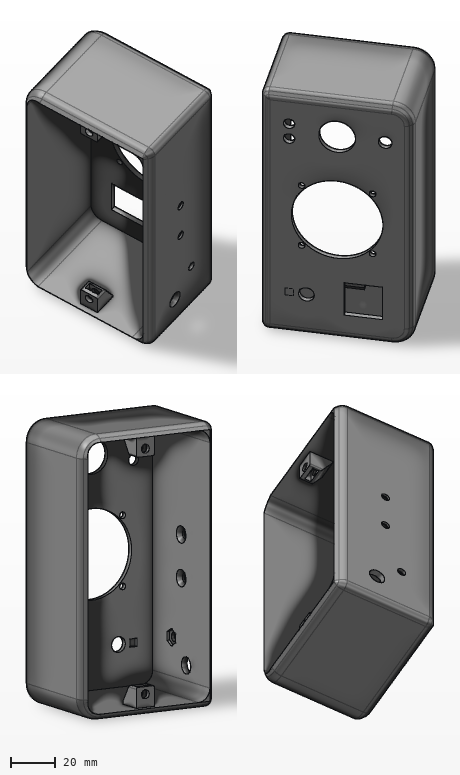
import cadquery as cq
import math

WIDTH = 70.0
DEPTH = 51.5
HEIGHT = 130.0
WALL = 3.0
BACK_WALL = 2.5
LEFT_CORNER_RADIUS = 10.0
RIGHT_CORNER_RADIUS = 3.4
CAVITY_RADIUS = 6.0

RIM_CHAMFER = WALL
FRONT_RIM_RADIUS = 5.0
BACK_RIM_RADIUS = 3.0

SPEAKER_DIAMETER = 41.9
SPEAKER_SCREW_DIAMETER = 3.0
SPEAKER_SCREW_SPACING = 32.5
UPPER_ROW_Z = 45.0
LOWER_ROW_Z = -42.5
SIDE_COLUMN_X = 22.0
KNOB_DIAMETER = 16.8
SIDE_HOLE_DIAMETER = 6.2
LAMP_DIAMETER = 5.1
LAMP_SPACING = 8.0
WINDOW_SIZE = 17.5
WINDOW_X = -12.0
JACK_DIAMETER = 7.2
JACK_X = 14.0
PIT_SIZE = 3.8
PIT_DEPTH = 2.0

COUNTERSINK_Y = -1.0
COUNTERSINK_SPACING = 19.9
COUNTERSINK_DIAMETER = 7.9
COUNTERSINK_HOLE_DIAMETER = 4.0
NUT_HOLE_Y = 7.3
NUT_HOLE_Z = -38.4
NUT_HOLE_DIAMETER = 4.0
NUT_RECESS_FLATS = 7.0
NUT_RECESS_DEPTH = 1.3
CABLE_Y = -5.3
CABLE_Z = -49.1
CABLE_DIAMETER = 7.8

BOSS_WIDTH = 9.5
BOSS_HEIGHT = 9.5
BOSS_SETBACK = WALL
BOSS_TOP_LENGTH = 6.2
BOSS_BASE_LENGTH = 11.7
BOSS_HEEL = 1.0
BOSS_FILLET = 0.8
BOSS_HOLE_DIAMETER = 4.0
BOSS_HOLE_HEIGHT = 6.0
BOSS_HOLE_DEPTH = 6.5
SLOT_OFFSET = 2.1
SLOT_THICKNESS = 3.1
SLOT_WIDTH = 7.0

FRONT_Y = -DEPTH / 2
BACK_Y = DEPTH / 2
CAVITY_BACK_Y = BACK_Y - BACK_WALL
INNER_RIGHT_X = WIDTH / 2 - WALL
FLOOR_Z = -HEIGHT / 2 + WALL


def edges_at_depth(y):
    """Select the edges lying in the XZ plane at this y."""
    tolerance = 0.01
    return cq.selectors.BoxSelector(
        (-WIDTH, y - tolerance, -HEIGHT), (WIDTH, y + tolerance, HEIGHT)
    )


def outer_body():
    body = cq.Workplane("XY").box(WIDTH, DEPTH, HEIGHT)
    body = body.edges("|Y and <X").fillet(LEFT_CORNER_RADIUS)
    body = body.edges("|Y and >X").fillet(RIGHT_CORNER_RADIUS)
    body = body.faces("<Y or >Y").chamfer(RIM_CHAMFER)
    body = body.edges(edges_at_depth(FRONT_Y + RIM_CHAMFER)).fillet(FRONT_RIM_RADIUS)
    body = body.edges(edges_at_depth(BACK_Y - RIM_CHAMFER)).fillet(BACK_RIM_RADIUS)
    return body.faces(">Y").edges().fillet(BACK_RIM_RADIUS)


def cavity():
    block = cq.Workplane("XY").box(WIDTH - 2 * WALL, DEPTH - BACK_WALL, HEIGHT - 2 * WALL)
    return block.edges("|Y").fillet(CAVITY_RADIUS).translate((0, -BACK_WALL / 2, 0))


def back_openings():
    plane = cq.Workplane("XZ", origin=(0, BACK_Y, 0))
    reach = 2 * BACK_WALL

    screw = SPEAKER_SCREW_SPACING / 2
    lamp = LAMP_SPACING / 2
    round_holes = [
        (SPEAKER_DIAMETER, [(0, 0)]),
        (SPEAKER_SCREW_DIAMETER, [(x, z) for x in (-screw, screw) for z in (-screw, screw)]),
        (KNOB_DIAMETER, [(0, UPPER_ROW_Z)]),
        (SIDE_HOLE_DIAMETER, [(-SIDE_COLUMN_X, UPPER_ROW_Z)]),
        (LAMP_DIAMETER, [(SIDE_COLUMN_X, UPPER_ROW_Z + dz) for dz in (-lamp, lamp)]),
        (JACK_DIAMETER, [(JACK_X, LOWER_ROW_Z)]),
    ]
    cut = plane.center(WINDOW_X, LOWER_ROW_Z).rect(WINDOW_SIZE, WINDOW_SIZE).extrude(reach)
    for diameter, places in round_holes:
        cut = cut.union(plane.pushPoints(places).circle(diameter / 2).extrude(reach))

    pit = (
        cq.Workplane("XZ", origin=(SIDE_COLUMN_X, CAVITY_BACK_Y, LOWER_ROW_Z))
        .rect(PIT_SIZE, PIT_SIZE)
        .extrude(-PIT_DEPTH)
    )
    return cut.union(pit)


def right_wall_holes():
    inner_face = cq.Workplane("YZ", origin=(INNER_RIGHT_X, 0, 0))
    countersinks = [(COUNTERSINK_Y, side * COUNTERSINK_SPACING / 2) for side in (-1, 1)]
    nut_hole = (NUT_HOLE_Y, NUT_HOLE_Z)

    across_corners = NUT_RECESS_FLATS / math.cos(math.pi / 6)
    cut = (
        cq.Workplane("YZ")
        .polygon(6, across_corners)
        .extrude(NUT_RECESS_DEPTH)
        .rotate((0, 0, 0), (1, 0, 0), 90)
        .translate((INNER_RIGHT_X, NUT_HOLE_Y, NUT_HOLE_Z))
    )

    cone_depth = (COUNTERSINK_DIAMETER - COUNTERSINK_HOLE_DIAMETER) / 2
    cones = (
        inner_face.pushPoints(countersinks)
        .circle(COUNTERSINK_DIAMETER / 2)
        .extrude(cone_depth, taper=45)
    )
    cut = cut.union(cones)

    through_holes = [
        (COUNTERSINK_HOLE_DIAMETER, countersinks),
        (NUT_HOLE_DIAMETER, [nut_hole]),
        (CABLE_DIAMETER, [(CABLE_Y, CABLE_Z)]),
    ]
    for diameter, places in through_holes:
        cut = cut.union(inner_face.pushPoints(places).circle(diameter / 2).extrude(2 * WALL))
    return cut


def floor_boss():
    front = FRONT_Y + BOSS_SETBACK
    back = front + BOSS_BASE_LENGTH
    top = FLOOR_Z + BOSS_HEIGHT
    root = FLOOR_Z - WALL / 2
    boss = (
        cq.Workplane("YZ")
        .moveTo(front, root)
        .lineTo(front, top)
        .lineTo(front + BOSS_TOP_LENGTH, top)
        .lineTo(back, FLOOR_Z + BOSS_HEEL)
        .lineTo(back, root)
        .close()
        .extrude(BOSS_WIDTH / 2, both=True)
    )
    boss = boss.faces(">Z").edges("|Y or >Y").fillet(BOSS_FILLET)

    hole_z = FLOOR_Z + BOSS_HOLE_HEIGHT
    hole = (
        cq.Workplane("XZ", origin=(0, front, hole_z))
        .circle(BOSS_HOLE_DIAMETER / 2)
        .extrude(-BOSS_HOLE_DEPTH)
    )
    slot_y = front + SLOT_OFFSET + SLOT_THICKNESS / 2
    slot = (
        cq.Workplane("XY", origin=(0, slot_y, hole_z - SLOT_WIDTH / 2))
        .rect(SLOT_WIDTH, SLOT_THICKNESS)
        .extrude(BOSS_HEIGHT)
    )
    return boss.cut(hole).cut(slot)


shell = outer_body().cut(cavity()).cut(back_openings()).cut(right_wall_holes())
boss = floor_boss()
result = shell.union(boss).union(boss.mirror("XY"))